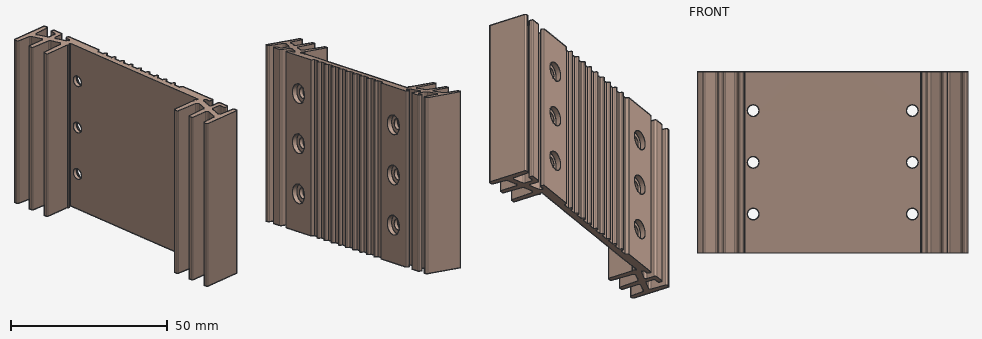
import cadquery as cq
import math

WIDTH = 86.4
DEPTH = 13.8
LENGTH = 57.95
HALF_WIDTH = WIDTH / 2

PLATE_THICKNESS = 3.1
PLATE_BOTTOM = DEPTH - PLATE_THICKNESS
PLATE_SAG = 0.06
PLATE_END = HALF_WIDTH - 10.6
NOSE_HEIGHT = 1.55
NOSE_TOP_RUN = 0.35
NOSE_BOTTOM_RUN = 0.6
NOSE_EDGE_RADIUS = 0.2

FIELD_DEPTH = 1.0
FIELD_HALF_WIDTH = 18.7
RIDGE_COUNT = 9
RIDGE_PITCH = 3.8
RIDGE_BASE = 1.5
RIDGE_TIP = 0.8
RIDGE_TIP_RADIUS = 0.35
FLANK_RUN = 0.5

TIP_THICKNESS = 1.6
ROOT_THICKNESS = 2.0
OUTER_FIN = HALF_WIDTH
MIDDLE_FIN = HALF_WIDTH - 6.6
INNER_FIN = HALF_WIDTH - 14.85
MIDDLE_FIN_INNER = MIDDLE_FIN - TIP_THICKNESS
INNER_FIN_OUTER = INNER_FIN + TIP_THICKNESS
TIP_RADIUS = 0.35
ROOT_RADIUS = 0.6
INNER_ROOT_RADIUS = 0.9
OUTER_TIP_RADIUS = 0.5

HOOK_END = HALF_WIDTH - 4.15
HOOK_THICKNESS = 1.5

WEB_TOP_AT_EDGE = 6.65
WEB_BOTTOM_AT_EDGE = 4.75
WEB_TOP_SLOPE = math.tan(math.radians(20))
WEB_BOTTOM_SLOPE = math.tan(math.radians(18))

UNDERCUT_END = HALF_WIDTH - 12.9
UNDERCUT_TOP = DEPTH - 1.4
UNDERCUT_RADIUS = 0.5

RELIEF_DEPTH = 0.2
RELIEF_HEIGHT = 0.6
BEAD_HEIGHT = 0.3
BEAD_WIDTH = 0.7
BEAD_RADIUS = 0.2
RELIEF_RAMP = 0.3

HOLE_DIAMETER = 3.6
COUNTERBORE_DIAMETER = 6.4
COUNTERBORE_DEPTH = 1.7
HOLE_X = 25.4
HOLE_PITCH = 16.5


def web_top(x):
    """Height of the upper web face at x."""
    return WEB_TOP_AT_EDGE + (HALF_WIDTH - x) * WEB_TOP_SLOPE


def web_bottom(x):
    """Height of the lower web face at x."""
    return WEB_BOTTOM_AT_EDGE + (HALF_WIDTH - x) * WEB_BOTTOM_SLOPE


def ridge_corners(center):
    """Corners (x, y, radius) of one serration ridge, listed towards -X."""
    floor = DEPTH - FIELD_DEPTH
    return [
        (center + RIDGE_BASE / 2, floor, 0),
        (center + RIDGE_TIP / 2, DEPTH, RIDGE_TIP_RADIUS),
        (center - RIDGE_TIP / 2, DEPTH, RIDGE_TIP_RADIUS),
        (center - RIDGE_BASE / 2, floor, 0),
    ]


def side_corners():
    """Corners (x, y, radius) of the +X side, from the plate's inner face round to the serrated field."""
    bead_bottom = PLATE_BOTTOM - RELIEF_HEIGHT - RELIEF_RAMP - BEAD_WIDTH
    bead_top = bead_bottom + BEAD_WIDTH
    outer_root = OUTER_FIN - ROOT_THICKNESS
    middle_root = MIDDLE_FIN - ROOT_THICKNESS
    inner_root = INNER_FIN + ROOT_THICKNESS
    field_wall_foot = FIELD_HALF_WIDTH - FLANK_RUN
    return [
        (INNER_FIN + RELIEF_DEPTH, PLATE_BOTTOM, 0),
        (INNER_FIN + RELIEF_DEPTH, PLATE_BOTTOM - RELIEF_HEIGHT, 0),
        (INNER_FIN - BEAD_HEIGHT, bead_top, BEAD_RADIUS),
        (INNER_FIN - BEAD_HEIGHT, bead_bottom, BEAD_RADIUS),
        (INNER_FIN, bead_bottom, 0),
        (INNER_FIN, 0, TIP_RADIUS),
        (INNER_FIN_OUTER, 0, TIP_RADIUS),
        (inner_root, web_bottom(inner_root), INNER_ROOT_RADIUS),
        (middle_root, web_bottom(middle_root), ROOT_RADIUS),
        (MIDDLE_FIN_INNER, 0, TIP_RADIUS),
        (MIDDLE_FIN, 0, TIP_RADIUS),
        (MIDDLE_FIN, web_bottom(MIDDLE_FIN), ROOT_RADIUS),
        (outer_root, web_bottom(outer_root), ROOT_RADIUS),
        (OUTER_FIN - TIP_THICKNESS, 0, OUTER_TIP_RADIUS),
        (OUTER_FIN, 0, OUTER_TIP_RADIUS),
        (OUTER_FIN, DEPTH, OUTER_TIP_RADIUS),
        (OUTER_FIN - TIP_THICKNESS, DEPTH, OUTER_TIP_RADIUS),
        (outer_root, web_top(outer_root), ROOT_RADIUS),
        (MIDDLE_FIN, web_top(MIDDLE_FIN), ROOT_RADIUS),
        (MIDDLE_FIN, DEPTH - HOOK_THICKNESS, ROOT_RADIUS),
        (HOOK_END, DEPTH - HOOK_THICKNESS, TIP_RADIUS),
        (HOOK_END, DEPTH, TIP_RADIUS),
        (MIDDLE_FIN_INNER, DEPTH, ROOT_RADIUS),
        (MIDDLE_FIN_INNER, web_top(MIDDLE_FIN_INNER), ROOT_RADIUS),
        (UNDERCUT_END, web_top(UNDERCUT_END), UNDERCUT_RADIUS),
        (UNDERCUT_END, UNDERCUT_TOP, UNDERCUT_RADIUS),
        (PLATE_END - NOSE_BOTTOM_RUN, DEPTH - NOSE_HEIGHT, NOSE_EDGE_RADIUS),
        (PLATE_END, DEPTH - NOSE_HEIGHT / 2, TIP_RADIUS),
        (PLATE_END - NOSE_TOP_RUN, DEPTH, NOSE_EDGE_RADIUS),
        (FIELD_HALF_WIDTH, DEPTH, 0),
        (field_wall_foot, DEPTH - FIELD_DEPTH, 0),
    ]


def toward(start, end, distance):
    """Point a given distance from start on the line to end."""
    span = math.dist(start, end)
    return tuple(a + (b - a) * distance / span for a, b in zip(start, end))


def rounded_path(corners):
    """Open wire through the corners, each rounded with its own radius."""
    path = cq.Workplane("XY").moveTo(*corners[0][:2])
    for before, corner, after in zip(corners, corners[1:], corners[2:]):
        previous, point, following = before[:2], corner[:2], after[:2]
        radius = corner[2]
        if radius == 0:
            path = path.lineTo(*point)
            continue
        to_previous = toward(point, previous, 0.9)
        to_following = toward(point, following, 0.9)
        half_angle = math.asin(math.dist(to_previous, to_following) / 1.7)
        setback = radius / math.tan(half_angle)
        bisector = tuple((a + b) / 2 for a, b in zip(to_previous, to_following))
        crest = toward(point, bisector, radius / math.sin(half_angle) - radius)
        path = path.lineTo(*toward(point, previous, setback))
        path = path.threePointArc(crest, toward(point, following, setback))
    return path.lineTo(*corners[-1][:2])


def extrusion():
    """Full cross-section extruded along Z."""
    right_side = side_corners()
    left_side = [(-x, y, radius) for x, y, radius in reversed(right_side)]
    ridges = []
    for index in range(RIDGE_COUNT):
        ridges += ridge_corners(((RIDGE_COUNT - 1) / 2 - index) * RIDGE_PITCH)
    corners = right_side + ridges + left_side
    path = rounded_path(corners)
    path = path.threePointArc((0, PLATE_BOTTOM - PLATE_SAG), corners[0][:2])
    return path.close().extrude(LENGTH)


def mounting_holes():
    """Cutting tools for a column of three holes on each side of the plate."""
    rows = [LENGTH / 2 + step * HOLE_PITCH for step in (-1, 0, 1)]
    centers = [(side * HOLE_X, z) for side in (-1, 1) for z in rows]
    face = cq.Workplane("XZ", origin=(0, DEPTH, 0)).pushPoints(centers)
    bores = face.circle(HOLE_DIAMETER / 2).extrude(DEPTH)
    counterbores = face.circle(COUNTERBORE_DIAMETER / 2).extrude(COUNTERBORE_DEPTH)
    return bores.union(counterbores)


result = extrusion().cut(mounting_holes())